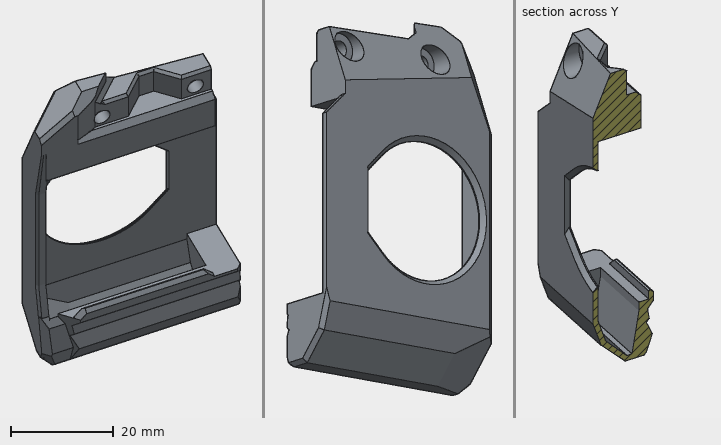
import cadquery as cq
import math

WIDTH = 41.6
HEIGHT = 71.4
PLATE = 1.3
SIDE_WALL = 2.0
BLOCK_BACK = 11.0
BLOCK_BOTTOM = 52.6
RIM_BACK = 8.65
SHELF_Z = 12.7
SHELF_FRONT = 10.4
TAB_BACK = 13.8
TAB_NEAR_Y = 7.15
LIP_END_Y = 35.7
RIM_BEVEL = 0.5
END_BEVEL = 0.85
TOP_Z = 67.55
TOP_Y = 37.05
PLATE_EDGE_TOP = 53.1
SPAN = 142.8
SLACK = 3.6


def trim(body, point, normal):
    """Remove everything beyond the plane through point, on the side normal points to."""
    cutter = cq.Workplane(cq.Plane(origin=point, normal=normal)).rect(SPAN, SPAN).extrude(SPAN)
    return body.cut(cutter)


def prism_y(points, y_start, y_end):
    """Extrude an XZ outline from y_start to y_end."""
    return cq.Workplane("XZ", origin=(0, y_start, 0)).polyline(points).close().extrude(y_start - y_end)


def prism_x(points, x_start, x_end):
    """Extrude a YZ outline from x_start to x_end."""
    return cq.Workplane("YZ", origin=(x_start, 0, 0)).polyline(points).close().extrude(x_end - x_start)


def prism_z(points, z_start, z_end):
    """Extrude an XY outline from z_start to z_end."""
    return cq.Workplane("XY", origin=(0, 0, z_start)).polyline(points).close().extrude(z_end - z_start)


LOWER = [(0, 11.0), (1.85, 5.5), (7.35, 0)]
LOWER_BEVEL_SUM = 10.65
LOWER_BEVEL_NORMAL = (-1, -0.37, -1)
RIM_UPPER = (BLOCK_BACK, 60.3)
RIM_LOWER = (10.1, SHELF_Z)


def side_profile(bevel):
    """XZ outline of the body with the rear edge of its rim moved forward by bevel."""
    top_back = 8.0
    return [
        (0, HEIGHT),
        (top_back, HEIGHT),
        (BLOCK_BACK, HEIGHT + top_back - BLOCK_BACK),
        RIM_UPPER,
        (RIM_BACK - bevel, 46.4),
        (RIM_BACK - bevel, 20.35),
        (RIM_LOWER[0] - bevel, RIM_LOWER[1]),
        (11.65 - bevel, 4.15),
        (11.1 - bevel, 2.15),
        (10.35 - bevel, 0),
        LOWER[2],
        LOWER[1],
        LOWER[0],
    ]


def outer_body():
    """Solid outer shape, with a bevel along the rear edge of the -Y side."""
    bevelled_edge = (
        cq.Workplane("XZ")
        .polyline(side_profile(RIM_BEVEL))
        .close()
        .workplane(offset=-RIM_BEVEL)
        .polyline(side_profile(0))
        .close()
        .loft(ruled=True)
    )
    return bevelled_edge.union(prism_y(side_profile(0), RIM_BEVEL, WIDTH))


def cavity():
    """Space behind the plate, open to the back and, above the shelf, to the +Y side."""
    opening = [
        (PLATE, SHELF_Z),
        (TAB_BACK + SLACK, SHELF_Z),
        (TAB_BACK + SLACK, BLOCK_BOTTOM),
        (PLATE, BLOCK_BOTTOM),
    ]
    pocket = [
        (PLATE, SHELF_Z),
        (PLATE, LOWER[0][1] + 0.2),
        (3.0, 6.15),
        (7.7, PLATE),
        (8.85, PLATE),
        (SHELF_FRONT, 10.7),
        (SHELF_FRONT, SHELF_Z),
    ]
    pocket_end = 35.35
    lower = prism_y(pocket, SIDE_WALL, pocket_end)
    lower = trim(lower, (PLATE, 0, LOWER_BEVEL_SUM + PLATE / 2), LOWER_BEVEL_NORMAL)
    beside_outline = [
        (TOP_Y, SHELF_Z),
        (WIDTH, SHELF_Z),
        (WIDTH, PLATE_EDGE_TOP),
        (TOP_Y, PLATE_EDGE_TOP),
    ]
    beside = prism_x(beside_outline, PLATE, TAB_BACK)
    return prism_y(opening, SIDE_WALL, WIDTH + SLACK).union(beside).union(lower)


def block_rear():
    """Lower rear part of the upper block, standing out behind the sloping rim."""
    outline = [(RIM_BACK, BLOCK_BOTTOM), (BLOCK_BACK, BLOCK_BOTTOM), RIM_UPPER, (RIM_BACK, RIM_UPPER[1])]
    body = prism_y(outline, SIDE_WALL / 2, TOP_Y)
    return trim(body, (BLOCK_BACK, SIDE_WALL / 2, 0), (-1, -1, 0))


BURIED_X = 9.3
HEEL = [(12.2, 0.6), (11.65, 0)]


def foot():
    """Thick lower rear edge, bevelled where it meets the -Y side."""
    outline = [
        (BURIED_X, 1.4),
        (BURIED_X, SHELF_Z),
        (9.9, SHELF_Z),
        (11.5, 10.4),
        (12.7, 4.3),
        *HEEL,
        (10, 0),
    ]
    body = prism_y(outline, 0, WIDTH)
    body = trim(body, (11.15, 0, 4.15), (1, -1, 0.17))
    return trim(body, (10.6, 0, 2.2), (1, -1, -0.43))


def hook_base():
    """Shelf and ridged rear of the snap hook, behind the foot."""
    outline = [
        (BURIED_X, 10.7),
        (BURIED_X, SHELF_Z),
        (TAB_BACK, SHELF_Z),
        (TAB_BACK, 12.0),
        (12.5, 10.4),
        (12.85, 8.15),
        (12.2, 7.4),
        (13.6, 4.35),
        *HEEL,
        (10.35, 0),
    ]
    body = prism_y(outline, SIDE_WALL, WIDTH)
    body = trim(body, (TAB_BACK, TAB_NEAR_Y, 0), (1, -1, 0))
    rear_corner = 1.1
    return trim(body, (TAB_BACK - rear_corner, WIDTH, 0), (1, 1, 0))


def hook_lip():
    """Lip standing on the shelf, with both ends sloped."""
    front_x = 12.65
    outline = [
        (front_x, SHELF_Z),
        (front_x, 14.6),
        (13.0, 14.8),
        (TAB_BACK, 14.0),
        (TAB_BACK, SHELF_Z),
    ]
    body = prism_y(outline, SIDE_WALL, LIP_END_Y)
    body = trim(body, (0, LIP_END_Y, SHELF_Z), (0, 1, 1))
    return trim(body, (TAB_BACK, TAB_NEAR_Y, SHELF_Z), (1, -1, 1))


def side_outline():
    """Prism with the YZ outline of the whole part."""
    bottom_corner = 2.0
    outline = [
        (bottom_corner, 0),
        (WIDTH - END_BEVEL, 0),
        (WIDTH, END_BEVEL),
        (WIDTH, 48.7),
        (TOP_Y, PLATE_EDGE_TOP),
        (TOP_Y, HEIGHT),
        (9.9, HEIGHT),
        (0, 64.3),
        (0, bottom_corner),
    ]
    return prism_x(outline, -SLACK, TAB_BACK + SLACK)


def bevel_front(body):
    """Cut the sloping faces around the front of the part."""
    body = trim(body, (0, 6.0, 60.9), (-1, 0.072, 0.44))
    corner = 1.85
    body = trim(body, (corner, 0, 0), (-1, -1, 0))
    body = trim(body, (corner, 0, 50.8), (-1, -1, 0.43))
    body = trim(body, (0, 0, LOWER_BEVEL_SUM), LOWER_BEVEL_NORMAL)
    body = trim(body, (7.7, 0.1, 64.2), (-0.54, -1, 0.87))
    body = trim(body, (10.1, 0, 64.3), (1, -0.67, 0.93))
    for (x, z), (next_x, next_z) in zip(LOWER, LOWER[1:]):
        length = math.hypot(next_x - x, next_z - z)
        out_x = (next_z - z) / length
        out_z = (x - next_x) / length
        body = trim(body, (x, WIDTH - END_BEVEL, z), (out_x, 1, out_z))
    return body


NOTCH_END = [(9.2, 12.3), (9.8, 11.2), (BLOCK_BACK, 7.85)]


def upper_notch():
    """Step down from the raised corner to the low top, with a sloped band at its foot."""
    wall_y = 16.4
    wall_sum = NOTCH_END[0][0] + NOTCH_END[0][1]
    outline = [
        (-SLACK, wall_y),
        (wall_sum - wall_y, wall_y),
        *NOTCH_END,
        (BLOCK_BACK + SLACK, NOTCH_END[-1][1]),
        (BLOCK_BACK + SLACK, WIDTH),
        (-SLACK, WIDTH),
    ]
    step = prism_z(outline, TOP_Z, HEIGHT + SLACK)
    band_width = 1.1
    return trim(step, (0, wall_sum + band_width, TOP_Z), (-1, -1, -1))


def rear_recess():
    """Zigzag recess that lowers the back of the upper block."""
    floor_z = 61.4
    bevel = 0.6
    outer_x = NOTCH_END[0][0]
    inner_x = 5.15
    zigzag_start = 14.3
    zigzag = [
        (outer_x, zigzag_start),
        (outer_x, 19.35),
        (inner_x, 23.4),
        (inner_x, 26.6),
        (outer_x, 30.6),
        (outer_x, WIDTH),
        (BLOCK_BACK + SLACK, WIDTH),
        (BLOCK_BACK + SLACK, zigzag_start),
    ]
    end = [
        (outer_x, zigzag_start),
        *NOTCH_END,
        (BLOCK_BACK + SLACK, NOTCH_END[-1][1]),
        (BLOCK_BACK + SLACK, zigzag_start),
    ]
    recess = prism_z(zigzag, floor_z, HEIGHT).union(prism_z(end, floor_z, HEIGHT))
    rear_bevel = 1.2
    rear_edge = [
        (BLOCK_BACK - rear_bevel, floor_z),
        (BLOCK_BACK + SLACK, floor_z),
        (BLOCK_BACK + SLACK, floor_z - rear_bevel - SLACK),
    ]
    recess = recess.union(prism_y(rear_edge, NOTCH_END[-1][1], WIDTH))
    edge = (
        cq.Workplane("XY", origin=(0, 0, TOP_Z - bevel))
        .polyline(zigzag)
        .close()
        .extrude(bevel, taper=-45)
    )
    return recess.union(edge)


def window_section(plane_x, radius):
    """Window outline at one X: a circle with a straight side reached by two 45 degree flats."""
    y, z = 17.35, 32.6
    flat_y = 31.5
    diagonal = radius / math.sqrt(2)
    half_flat = radius * math.sqrt(2) - (flat_y - y)
    return (
        cq.Workplane("YZ", origin=(plane_x, 0, 0))
        .moveTo(flat_y, z - half_flat)
        .lineTo(flat_y, z + half_flat)
        .lineTo(y + diagonal, z + diagonal)
        .threePointArc((y - radius, z), (y + diagonal, z - diagonal))
        .close()
    )


def window():
    """Window through the front plate, tapered inward and ending in a narrow straight rim."""
    front_radius = 14.8
    rear_radius = 13.85
    taper_depth = 1.0
    front = window_section(0, front_radius).val()
    rear = window_section(taper_depth, rear_radius).val()
    taper = cq.Workplane("XY").add(cq.Solid.makeLoft([front, rear], True))
    rim = window_section(taper_depth, rear_radius).extrude(PLATE - taper_depth)
    return taper.union(rim)


def screw_holes():
    """Two counterbored holes through the upper block."""
    seat_x = 6.4
    places = [(13.7, 63.7), (33.6, 63.7)]
    bore_radius = 1.7
    head_radius = 3.2
    drill = cq.Workplane("YZ", origin=(-SLACK, 0, 0)).pushPoints(places)
    bores = drill.circle(bore_radius).extrude(SPAN)
    heads = drill.circle(head_radius).extrude(seat_x + SLACK)
    return bores.union(heads)


result = outer_body().union(foot()).union(hook_base())
result = result.cut(cavity())
result = result.union(block_rear()).union(hook_lip())
result = result.intersect(side_outline())
result = bevel_front(result)
result = result.cut(upper_notch()).cut(rear_recess())
result = result.cut(window()).cut(screw_holes())